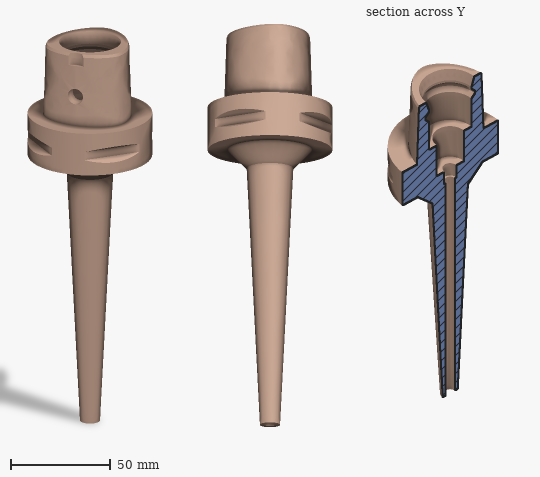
import cadquery as cq
import math

TOTAL_LENGTH = 203.0

POLYGON_LENGTH = 38.0
POLYGON_BASE_RADIUS = 22.3
POLYGON_TOP_RADIUS = 21.1
LOBE_HEIGHT = 1.5
LOBE_COUNT = 3
POLYGON_POINTS = 60
TOP_CHAMFER_WIDTH = 0.6
TOP_CHAMFER_HEIGHT = 1.5

FLANGE_RADIUS = 31.5
FLANGE_HEIGHT = 22.3

COLLAR_RADIUS = 21.3
NOSE_ROOT_RADIUS = 11.8
NOSE_TIP_RADIUS = 5.0

GROOVE_COUNT = 4
GROOVE_FLOOR_DISTANCE = 27.6
GROOVE_FLOOR_HEIGHT = 4.3
GROOVE_WALL_ANGLE = 28.0
GROOVE_FROM_FLANGE_TOP = 12.0

MOUTH_RADIUS = 15.6
MOUTH_DEPTH = 6.0
BORE_RADIUS = 13.8
UNDERCUT_RADIUS = 16.0
UNDERCUT_TOP_DEPTH = 7.5
UNDERCUT_WALL_LENGTH = 1.8
BORE_DEPTH = 32.5
THREAD_RADIUS = 9.0
THREAD_DEPTH = 52.8
COUNTERBORE_RADIUS = 3.9
COUNTERBORE_DEPTH = 61.0
COOLANT_RADIUS = 2.8

KEY_SLOT_RADIUS = 5.7
KEY_SLOT_FLOOR_DISTANCE = 17.9
KEY_SLOT_DEPTH = 6.3
SIDE_HOLE_RADIUS = 4.0
SIDE_HOLE_FROM_TOP = 22.5

flange_top = TOTAL_LENGTH - POLYGON_LENGTH
flange_bottom = flange_top - FLANGE_HEIGHT
nose_root = flange_bottom - (COLLAR_RADIUS - NOSE_ROOT_RADIUS)


def polygon_point(radius, angle):
    """Point whose outward normal is at `angle` on the constant-width curve with one lobe at +Y."""
    lobe_phase = LOBE_COUNT * (angle - math.pi / 2)
    reach = radius + LOBE_HEIGHT * math.cos(lobe_phase)
    slide = -LOBE_COUNT * LOBE_HEIGHT * math.sin(lobe_phase)
    x = reach * math.cos(angle) - slide * math.sin(angle)
    y = reach * math.sin(angle) + slide * math.cos(angle)
    return x, y


def polygon_wire(radius, z):
    step = 2 * math.pi / POLYGON_POINTS
    points = [cq.Vector(*polygon_point(radius, -math.pi / 2 + i * step), z) for i in range(POLYGON_POINTS)]
    return cq.Wire.assembleEdges([cq.Edge.makeSpline(points, periodic=True)])


def make_polygon_shank():
    sections = [
        polygon_wire(POLYGON_BASE_RADIUS, flange_top),
        polygon_wire(POLYGON_TOP_RADIUS, TOTAL_LENGTH - TOP_CHAMFER_HEIGHT),
        polygon_wire(POLYGON_TOP_RADIUS - TOP_CHAMFER_WIDTH, TOTAL_LENGTH),
    ]
    return cq.Workplane(cq.Solid.makeLoft(sections, True))


def revolve_profile(points):
    """Solid of revolution about Z from (radius, z) points."""
    return cq.Workplane("XZ").polyline(points).close().revolve(360, (0, 0, 0), (0, 1, 0))


def make_flange_and_nose():
    return revolve_profile([
        (0, 0),
        (NOSE_TIP_RADIUS, 0),
        (NOSE_ROOT_RADIUS, nose_root),
        (COLLAR_RADIUS, flange_bottom),
        (FLANGE_RADIUS, flange_bottom),
        (FLANGE_RADIUS, flange_top),
        (0, flange_top),
    ])


def make_bore():
    """Conical mouth, undercut with 45 degree flanks, blind steps and a through coolant hole."""
    flank = UNDERCUT_RADIUS - BORE_RADIUS
    undercut_wall_start = UNDERCUT_TOP_DEPTH + flank
    undercut_wall_end = undercut_wall_start + UNDERCUT_WALL_LENGTH
    steps = [
        (MOUTH_RADIUS, 0),
        (BORE_RADIUS, MOUTH_DEPTH),
        (BORE_RADIUS, UNDERCUT_TOP_DEPTH),
        (UNDERCUT_RADIUS, undercut_wall_start),
        (UNDERCUT_RADIUS, undercut_wall_end),
        (BORE_RADIUS, undercut_wall_end + flank),
        (BORE_RADIUS, BORE_DEPTH),
        (THREAD_RADIUS, BORE_DEPTH),
        (THREAD_RADIUS, THREAD_DEPTH),
        (COUNTERBORE_RADIUS, THREAD_DEPTH),
        (COUNTERBORE_RADIUS, COUNTERBORE_DEPTH),
        (COOLANT_RADIUS, COUNTERBORE_DEPTH),
        (COOLANT_RADIUS, TOTAL_LENGTH),
    ]
    wall = [(radius, TOTAL_LENGTH - depth) for radius, depth in steps]
    return revolve_profile([(0, TOTAL_LENGTH)] + wall + [(0, 0)])


def make_gripper_grooves():
    """Straight trapezoidal grooves centred on the diagonals between the X and Y axes."""
    depth = FLANGE_RADIUS - GROOVE_FLOOR_DISTANCE
    half_floor = GROOVE_FLOOR_HEIGHT / 2
    half_mouth = half_floor + depth * math.tan(math.radians(GROOVE_WALL_ANGLE))
    groove_z = flange_top - GROOVE_FROM_FLANGE_TOP
    groove = (
        cq.Workplane("XZ")
        .polyline([
            (GROOVE_FLOOR_DISTANCE, groove_z - half_floor),
            (FLANGE_RADIUS, groove_z - half_mouth),
            (FLANGE_RADIUS, groove_z + half_mouth),
            (GROOVE_FLOOR_DISTANCE, groove_z + half_floor),
        ])
        .close()
        .extrude(FLANGE_RADIUS, both=True)
    )
    spacing = 360 / GROOVE_COUNT
    grooves = cq.Workplane()
    for i in range(GROOVE_COUNT):
        grooves = grooves.add(groove.rotate((0, 0, 0), (0, 0, 1), (i + 0.5) * spacing))
    return grooves.combine()


def make_key_slot():
    return (
        cq.Workplane("XY", origin=(0, -KEY_SLOT_FLOOR_DISTANCE - KEY_SLOT_RADIUS, TOTAL_LENGTH))
        .circle(KEY_SLOT_RADIUS)
        .extrude(-KEY_SLOT_DEPTH)
    )


def make_side_hole():
    return (
        cq.Workplane("XZ", origin=(0, 0, TOTAL_LENGTH - SIDE_HOLE_FROM_TOP))
        .circle(SIDE_HOLE_RADIUS)
        .extrude(FLANGE_RADIUS)
    )


result = (
    make_flange_and_nose()
    .union(make_polygon_shank())
    .cut(make_bore())
    .cut(make_gripper_grooves())
    .cut(make_key_slot())
    .cut(make_side_hole())
)